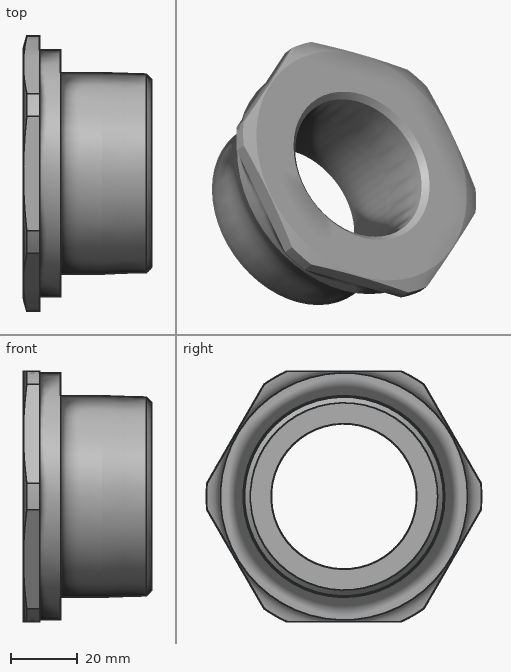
import cadquery as cq
import math

total_length = 38.5
across_flats = 75.0
hex_corner_diameter = 82.5
hex_thickness = 4.95
hex_chamfer_angle = 15.0
hex_face_diameter = 74.5

collar_diameter = 74.0
collar_end = 11.2

spigot_diameter = 60.4
taper_start = 23.6
taper_end_diameter = 59.5
end_chamfer = 1.7

bore_diameter = 43.45
bore_taper_diameter = 44.7
bore_taper_end = 19.8
mouth_diameter = 48.15
mouth_chamfer_depth = (mouth_diameter - bore_taper_diameter) / 2


def revolve_profile(points):
    """Revolve a closed outline of (x, radius) points about the X axis."""
    return cq.Workplane("XY").polyline(points).close().revolve(360, (0, 0, 0), (1, 0, 0))


def make_hex_flange():
    """Hexagon with flats facing +Z and -Z, rounded corners and a conical front edge."""
    across_corners = across_flats / math.cos(math.radians(30))
    hexagon = cq.Workplane("YZ").polygon(6, across_corners).extrude(hex_thickness)

    corner_radius = hex_corner_diameter / 2
    face_radius = hex_face_diameter / 2
    chamfer_depth = (corner_radius - face_radius) * math.tan(math.radians(hex_chamfer_angle))
    envelope = revolve_profile([
        (0, 0),
        (0, face_radius),
        (chamfer_depth, corner_radius),
        (hex_thickness, corner_radius),
        (hex_thickness, 0),
    ])
    return hexagon.intersect(envelope)


def make_turned_body():
    """Collar and spigot, with a slight taper and a chamfer at the free end."""
    taper_end_radius = taper_end_diameter / 2
    return revolve_profile([
        (hex_thickness, 0),
        (hex_thickness, collar_diameter / 2),
        (collar_end, collar_diameter / 2),
        (collar_end, spigot_diameter / 2),
        (taper_start, spigot_diameter / 2),
        (total_length - end_chamfer, taper_end_radius),
        (total_length, taper_end_radius - end_chamfer),
        (total_length, 0),
    ])


def make_bore():
    """Through bore with a chamfered mouth and a tapered entry."""
    return revolve_profile([
        (0, 0),
        (0, mouth_diameter / 2),
        (mouth_chamfer_depth, bore_taper_diameter / 2),
        (bore_taper_end, bore_diameter / 2),
        (total_length, bore_diameter / 2),
        (total_length, 0),
    ])


result = make_hex_flange().union(make_turned_body()).cut(make_bore())